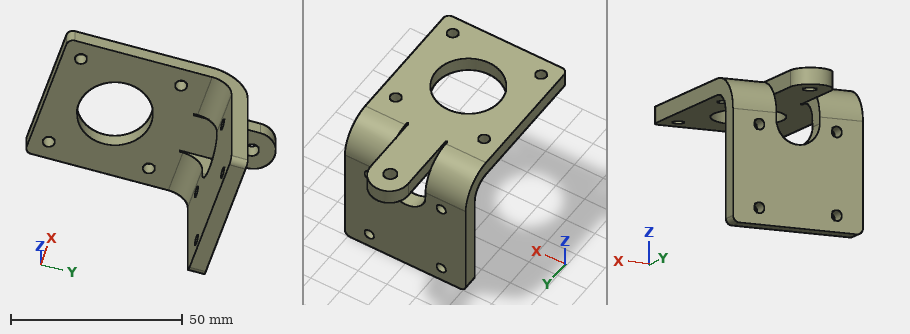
import cadquery as cq

width = 42.0
thickness = 5.0
corner_radius = 2.0
inner_bend_radius = 6.0
outer_bend_radius = inner_bend_radius + thickness
wall_back = 55.0
wall_height = 45.0
bend_start = wall_back - outer_bend_radius

bore_diameter = 22.2
bore_y = 21.0
motor_hole_diameter = 3.5
motor_hole_spacing = 30.7

wall_hole_diameter = 3.24
wall_hole_spacing = 25.0
wall_hole_top_z = -15.0

tab_width = 13.0
tab_tip = 70.0
tab_hole_diameter = 4.13
tab_hole_y = 63.0

opening_width = 14.0
opening_radius = opening_width / 2
opening_bottom_z = -20.0
relief_gap = (opening_width - tab_width) / 2
relief_start = 43.0


def bent_sheet():
    """L-shaped sheet with one rounded bend and rounded free corners."""
    wall_front = wall_back - thickness
    profile = (
        cq.Workplane("YZ")
        .moveTo(0, 0)
        .lineTo(bend_start, 0)
        .radiusArc((wall_back, -outer_bend_radius), outer_bend_radius)
        .lineTo(wall_back, -wall_height)
        .lineTo(wall_front, -wall_height)
        .lineTo(wall_front, -outer_bend_radius)
        .radiusArc((bend_start, -thickness), -inner_bend_radius)
        .lineTo(0, -thickness)
        .close()
    )
    sheet = profile.extrude(width / 2, both=True)
    sheet = sheet.faces("<Y").edges("|Z").fillet(corner_radius)
    return sheet.faces("<Z").edges("|Y").fillet(corner_radius)


def wall_opening():
    """Round-bottomed cutter through the bend and the wall."""
    arc_center_z = opening_bottom_z + opening_radius
    return (
        cq.Workplane("XZ", origin=(0, bend_start, 0))
        .moveTo(-opening_radius, 0)
        .lineTo(-opening_radius, arc_center_z)
        .threePointArc((0, opening_bottom_z), (opening_radius, arc_center_z))
        .lineTo(opening_radius, 0)
        .close()
        .extrude(-outer_bend_radius)
    )


def relief_slot(side):
    """Narrow round-ended cutter beside the tab, on the given side of X = 0."""
    slot_x = side * (tab_width + relief_gap) / 2
    end_radius = relief_gap / 2
    return (
        cq.Workplane("XY")
        .moveTo(slot_x - end_radius, bend_start)
        .lineTo(slot_x - end_radius, relief_start + end_radius)
        .threePointArc((slot_x, relief_start), (slot_x + end_radius, relief_start + end_radius))
        .lineTo(slot_x + end_radius, bend_start)
        .close()
        .extrude(-outer_bend_radius)
    )


def tab():
    """Flat tab with a fully rounded tip."""
    tip_radius = tab_width / 2
    arc_center_y = tab_tip - tip_radius
    return (
        cq.Workplane("XY")
        .moveTo(-tip_radius, bend_start)
        .lineTo(-tip_radius, arc_center_y)
        .threePointArc((0, tab_tip), (tip_radius, arc_center_y))
        .lineTo(tip_radius, bend_start)
        .close()
        .extrude(-thickness)
    )


def plate_holes():
    """Cutters for the bore, the motor holes around it and the tab hole."""
    bore = (
        cq.Workplane("XY", origin=(0, bore_y, 0))
        .circle(bore_diameter / 2)
        .extrude(-thickness)
    )
    motor_holes = (
        cq.Workplane("XY", origin=(0, bore_y, 0))
        .rect(motor_hole_spacing, motor_hole_spacing, forConstruction=True)
        .vertices()
        .circle(motor_hole_diameter / 2)
        .extrude(-thickness)
    )
    tab_hole = (
        cq.Workplane("XY", origin=(0, tab_hole_y, 0))
        .circle(tab_hole_diameter / 2)
        .extrude(-thickness)
    )
    return bore.union(motor_holes).union(tab_hole)


def wall_holes():
    """Cutters for the square of holes through the vertical wall."""
    pattern_z = wall_hole_top_z - wall_hole_spacing / 2
    return (
        cq.Workplane("XZ", origin=(0, wall_back, pattern_z))
        .rect(wall_hole_spacing, wall_hole_spacing, forConstruction=True)
        .vertices()
        .circle(wall_hole_diameter / 2)
        .extrude(thickness)
    )


bracket = bent_sheet().cut(wall_opening())
bracket = bracket.union(tab())
for side in (-1, 1):
    bracket = bracket.cut(relief_slot(side))
result = bracket.cut(plate_holes()).cut(wall_holes())